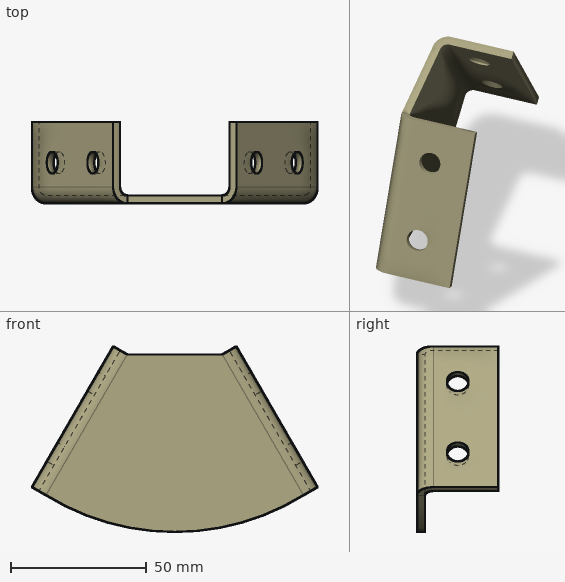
import cadquery as cq
import math

overall_width = 105.4
overall_depth = 30.0
overall_height = 68.5
flange_length = 60.0
flange_angle = math.radians(60)
bend_radius = 6.0
thickness = bend_radius / 2
hole_diameter = 8.0
hole_spacing = flange_length / 2

along = cq.Vector(math.cos(flange_angle), 0, math.sin(flange_angle))
inward = cq.Vector(math.sin(flange_angle), 0, -math.cos(flange_angle))

outer_bottom = cq.Vector(-overall_width / 2, 0, -flange_length * math.sin(flange_angle))
plate_bottom = outer_bottom + inward * bend_radius
plate_top = plate_bottom + along * flange_length


def make_plate():
    """Flat plate between the bends, with an arched lower edge."""
    return (
        cq.Workplane("XZ")
        .moveTo(plate_top.x, plate_top.z)
        .lineTo(plate_bottom.x, plate_bottom.z)
        .threePointArc((0, -overall_height), (-plate_bottom.x, plate_bottom.z))
        .lineTo(-plate_top.x, plate_top.z)
        .close()
        .extrude(-thickness)
    )


def make_left_flange():
    """Bend and straight flange swept along the bend line, with two holes."""
    inner_radius = bend_radius - thickness
    section = cq.Plane(origin=outer_bottom, xDir=inward, normal=along)
    flange = (
        cq.Workplane(section)
        .moveTo(bend_radius, 0)
        .radiusArc((0, bend_radius), bend_radius)
        .lineTo(0, overall_depth)
        .lineTo(thickness, overall_depth)
        .lineTo(thickness, bend_radius)
        .radiusArc((bend_radius, thickness), -inner_radius)
        .close()
        .extrude(flange_length)
    )
    flange_center = outer_bottom + along * (flange_length / 2) + cq.Vector(0, overall_depth / 2, 0)
    face = cq.Plane(origin=flange_center, xDir=along, normal=inward)
    holes = (
        cq.Workplane(face)
        .pushPoints([(-hole_spacing / 2, 0), (hole_spacing / 2, 0)])
        .circle(hole_diameter / 2)
        .extrude(thickness)
    )
    return flange.cut(holes)


left_flange = make_left_flange()
right_flange = left_flange.mirror("YZ")
result = make_plate().union(left_flange).union(right_flange)